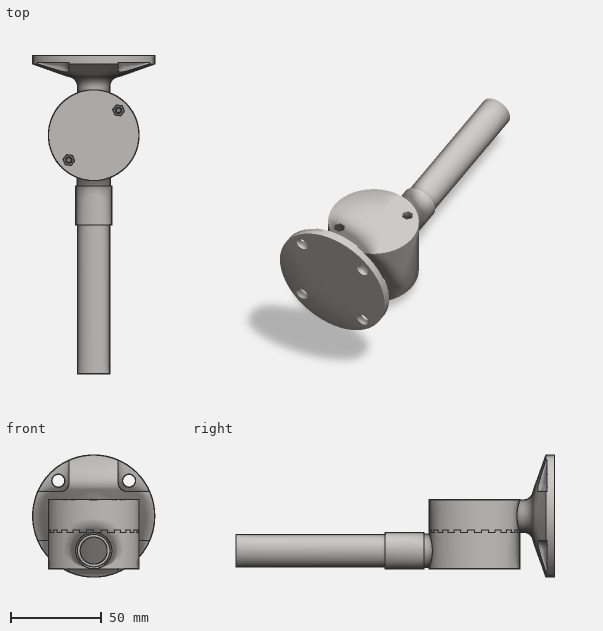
import cadquery as cq
import math


overall_length = 175.6

housing_diameter = 50.0
housing_radius = housing_diameter / 2
upper_half_height = 18.0
lower_half_height = 20.0
housing_top = upper_half_height / 2
seam_z = housing_top - upper_half_height
housing_bottom = seam_z - lower_half_height

tooth_count = 20
tooth_height = 1.5
tooth_ring_inner_diameter = 45.5
tooth_pitch = 360 / tooth_count
tooth_angle = tooth_pitch / 2

spigot_diameter = 28.6
socket_diameter = 29.0
socket_floor = 1.8

flange_diameter = 67.5
flange_radius = flange_diameter / 2
rim_thickness = 4.7
hub_depth = 11.2
hub_radius = 15.5
fillet_start_radius = 12.8
fillet_start_depth = 12.0
neck_diameter = 17.9
neck_radius = neck_diameter / 2
neck_fillet = 5.3
flange_back = 44.0

pocket_floor_thickness = 4.0
pocket_edge = 13.5
pocket_corner_radius = 5.0
mounting_hole_diameter = 7.0
mounting_hole_offset = 19.5

arm_z = housing_bottom + lower_half_height / 2
stub_diameter = 18.5
sleeve_diameter = 20.0
tube_diameter = 17.9
tube_bore = 15.0
sleeve_start = flange_back - 72.0
sleeve_end = flange_back - 93.5
tube_end = flange_back - overall_length

screw_diameter = 3.0
screw_tip_diameter = 2.6
screw_clearance_diameter = 3.3
screw_offset = 13.7
screw_depth_below_seam = 8.8
hex_corner_diameter = 6.5
hex_turn_angle = 52.0
hex_depth = 7.0
screw_top = housing_top - hex_depth
screw_bottom = seam_z - screw_depth_below_seam
screw_positions = [(screw_offset, screw_offset), (-screw_offset, -screw_offset)]


def z_cylinder(diameter, bottom, top, x=0.0, y=0.0):
    """Upright cylinder between two heights."""
    return cq.Workplane("XY", origin=(x, y, bottom)).circle(diameter / 2).extrude(top - bottom)


def y_cylinder(diameter, near, far, x=0.0, z=0.0):
    """Cylinder along Y that starts at `far` and runs toward -Y to `near`."""
    return cq.Workplane("XZ", origin=(x, far, z)).circle(diameter / 2).extrude(far - near)


def make_tooth_sectors(first_edge_angle):
    """Tooth-shaped ring sectors, one pitch apart, with the first starting at the given angle."""
    half_angle = math.radians(tooth_angle / 2)
    wedge_reach = 2 * housing_radius
    wedge_x = wedge_reach * math.cos(half_angle)
    wedge_y = wedge_reach * math.sin(half_angle)
    wedge = (
        cq.Workplane("XY", origin=(0, 0, seam_z))
        .polyline([(0, 0), (wedge_x, -wedge_y), (wedge_x, wedge_y)])
        .close()
        .extrude(tooth_height)
    )
    ring = z_cylinder(housing_diameter, seam_z, seam_z + tooth_height).cut(
        z_cylinder(tooth_ring_inner_diameter, seam_z, seam_z + tooth_height)
    )
    sector = ring.intersect(wedge)
    middle_angle = first_edge_angle + tooth_angle / 2
    return [
        sector.rotate((0, 0, 0), (0, 0, 1), middle_angle + index * tooth_pitch)
        for index in range(tooth_count)
    ]


def make_flange():
    """Conical flange and neck, turned about the Y axis, with four recessed corners for mounting screws."""
    hub_y = flange_back - hub_depth
    fillet_start_y = flange_back - fillet_start_depth
    arc_center_radius = neck_radius + neck_fillet
    start_angle = math.acos((arc_center_radius - fillet_start_radius) / neck_fillet)
    arc_center_y = fillet_start_y - neck_fillet * math.sin(start_angle)
    fillet_middle = (
        arc_center_radius - neck_fillet * math.cos(start_angle / 2),
        arc_center_y + neck_fillet * math.sin(start_angle / 2),
    )
    flange = (
        cq.Workplane("XY")
        .moveTo(0, flange_back)
        .lineTo(flange_radius, flange_back)
        .lineTo(flange_radius, flange_back - rim_thickness)
        .lineTo(hub_radius, hub_y)
        .lineTo(fillet_start_radius, fillet_start_y)
        .threePointArc(fillet_middle, (neck_radius, arc_center_y))
        .lineTo(neck_radius, 0)
        .lineTo(0, 0)
        .close()
        .revolve(360, (0, 0, 0), (0, 1, 0))
    )
    pocket_size = flange_radius
    pocket_center = pocket_edge + pocket_size / 2
    pocket_floor = flange_back - pocket_floor_thickness
    for side_x in (-1, 1):
        for side_z in (-1, 1):
            pocket = (
                cq.Workplane("XZ", origin=(side_x * pocket_center, pocket_floor, side_z * pocket_center))
                .rect(pocket_size, pocket_size)
                .extrude(flange_back)
                .edges("|Y")
                .fillet(pocket_corner_radius)
            )
            hole = y_cylinder(
                mounting_hole_diameter, pocket_floor, flange_back,
                side_x * mounting_hole_offset, side_z * mounting_hole_offset,
            )
            flange = flange.cut(pocket).cut(hole)
    return flange


def make_upper_half():
    """Upper housing half with its teeth, spigot, neck and wall flange."""
    body = z_cylinder(housing_diameter, seam_z, housing_top)
    body = body.union(make_flange())
    for gap in make_tooth_sectors(tooth_angle):
        body = body.cut(gap)
    body = body.union(z_cylinder(spigot_diameter, housing_bottom + socket_floor, seam_z + tooth_height))
    for x, y in screw_positions:
        hex_pocket = (
            cq.Workplane("XY", origin=(x, y, screw_top))
            .transformed(rotate=(0, 0, hex_turn_angle))
            .polygon(6, hex_corner_diameter)
            .extrude(hex_depth)
        )
        body = body.cut(hex_pocket).cut(z_cylinder(screw_clearance_diameter, seam_z, screw_top, x, y))
    return body


def make_lower_half():
    """Lower housing half with its toothed edge, pivot socket, stub and sleeve."""
    body = z_cylinder(housing_diameter, housing_bottom, seam_z + tooth_height)
    body = body.cut(z_cylinder(tooth_ring_inner_diameter, seam_z, seam_z + tooth_height))
    for gap in make_tooth_sectors(0):
        body = body.cut(gap)
    body = body.union(y_cylinder(stub_diameter, sleeve_start, 0, z=arm_z))
    body = body.union(y_cylinder(sleeve_diameter, sleeve_end, sleeve_start, z=arm_z))
    body = body.cut(y_cylinder(tube_bore, sleeve_start, 0, z=arm_z))
    body = body.cut(y_cylinder(tube_diameter, sleeve_end, sleeve_start, z=arm_z))
    body = body.cut(z_cylinder(socket_diameter, housing_bottom + socket_floor, seam_z))
    for x, y in screw_positions:
        body = body.cut(z_cylinder(screw_diameter, screw_bottom, seam_z, x, y))
    return body


def make_tube():
    """Open arm tube that sits in the sleeve."""
    outside = y_cylinder(tube_diameter, tube_end, sleeve_start, z=arm_z)
    return outside.cut(y_cylinder(tube_bore, tube_end, sleeve_start, z=arm_z))


def make_screw(x, y):
    """Plain screw shank with a chamfered tip."""
    tip_chamfer = (screw_diameter - screw_tip_diameter) / 2
    return z_cylinder(screw_diameter, screw_bottom, screw_top, x, y).faces(">Z").chamfer(tip_chamfer)


upper_half = make_upper_half()
lower_half = make_lower_half()
tube = make_tube()
screws = [make_screw(x, y) for x, y in screw_positions]

result = cq.Compound.makeCompound(
    [upper_half.val(), lower_half.val(), tube.val(), *[screw.val() for screw in screws]]
)